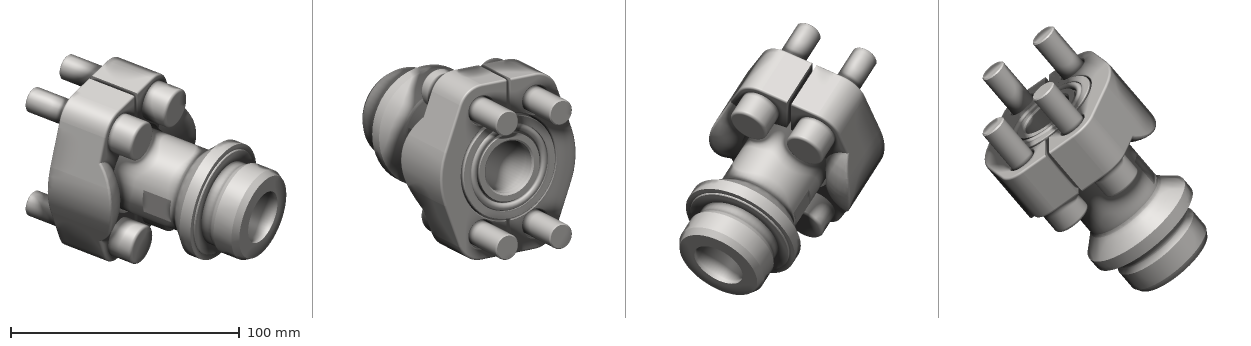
import cadquery as cq
import math


clamp_thickness = 24.0
clamp_width = 70.0
clamp_round_radius = clamp_width / 2
clamp_corner_radius = 11.9
clamp_edge_fillet = 1.0
split_gap = 2.2
clamp_bore_diameter = 41.7
clamp_counterbore_diameter = 49.0
counterbore_chamfer = 0.3

lobe_axis_x = 2.4
lobe_radius = 30.9
lobe_crown_y = 33.2
lobe_crown_radius = 18.8
lobe_crown_sweep = 65.0

bolt_spacing_y = 27.7
bolt_y = bolt_spacing_y / 2
bolt_spacing_z = 57.1
bolt_z = bolt_spacing_z / 2
bolt_shank_diameter = 11.7
bolt_tip_x = -21.0
bolt_tip_chamfer = 0.5
bolt_head_diameter = 18.0
bolt_head_height = 12.0
bolt_head_fillet = 1.3
bolt_hole_diameter = 13.0
bolt_hole_chamfer = 0.4

shoulder_front_x = -0.7
shoulder_back_x = 8.8
shoulder_diameter = 47.6
shoulder_front_chamfer = 0.3
shoulder_back_fillet = 0.5
tube_diameter = 37.9
tube_fillet = 0.7
cone_fillet = 2.0
collar_diameter = 53.9
collar_start_x = 63.5
collar_end_x = 69.2
adapter_end_x = 89.5
neck_diameter = 38.5
thread_diameter = 41.9
thread_start_x = 77.4
thread_chamfer_angle = 30.0
neck_fillet = 1.3
bore_diameter = 24.0
bore_chamfer = 0.8
flat_start_x = 39.3
flat_length = 14.1
flats_width = 36.0

groove_outer_diameter = 40.0
groove_inner_diameter = 31.2
ring_section_diameter = 3.5
ring_protrusion = 0.7
washer_diameter = 49.0
washer_thickness = 0.8
washer_chamfer = 0.3

bolt_positions = [(sy * bolt_y, sz * bolt_z) for sy in (-1, 1) for sz in (-1, 1)]


def cylinder_x(diameter, start_x, end_x, y=0, z=0):
    """Cylinder along X between two X positions."""
    return (
        cq.Workplane("YZ", origin=(start_x, y, z))
        .circle(diameter / 2)
        .extrude(end_x - start_x)
    )


def cone_x(start_diameter, end_diameter, start_x, end_x, y=0, z=0):
    """Cone frustum along X between two X positions."""
    cone = cq.Solid.makeCone(
        start_diameter / 2,
        end_diameter / 2,
        end_x - start_x,
        cq.Vector(start_x, y, z),
        cq.Vector(1, 0, 0),
    )
    return cq.Workplane(obj=cone)


def clamp_outline():
    """Closed outline around the round flanks and the four corner rounds, in Y and Z."""
    bolt_distance = math.hypot(bolt_y, bolt_z)
    bolt_angle = math.atan2(bolt_z, bolt_y)
    tangent_angle = bolt_angle - math.acos((clamp_round_radius - clamp_corner_radius) / bolt_distance)
    corner_mid_angle = (tangent_angle + math.pi / 2) / 2

    def on_arc(center_y, center_z, radius, angle):
        return (center_y + radius * math.cos(angle), center_z + radius * math.sin(angle))

    flank_y, flank_z = on_arc(0, 0, clamp_round_radius, tangent_angle)
    corner_y, corner_z = on_arc(bolt_y, bolt_z, clamp_corner_radius, tangent_angle)
    mid_y, mid_z = on_arc(bolt_y, bolt_z, clamp_corner_radius, corner_mid_angle)
    top_z = bolt_z + clamp_corner_radius

    return (
        cq.Workplane("YZ")
        .moveTo(flank_y, -flank_z)
        .threePointArc((clamp_round_radius, 0), (flank_y, flank_z))
        .lineTo(corner_y, corner_z)
        .threePointArc((mid_y, mid_z), (bolt_y, top_z))
        .lineTo(-bolt_y, top_z)
        .threePointArc((-mid_y, mid_z), (-corner_y, corner_z))
        .lineTo(-flank_y, flank_z)
        .threePointArc((-clamp_round_radius, 0), (-flank_y, -flank_z))
        .lineTo(-corner_y, -corner_z)
        .threePointArc((-mid_y, -mid_z), (-bolt_y, -top_z))
        .lineTo(bolt_y, -top_z)
        .threePointArc((mid_y, -mid_z), (corner_y, -corner_z))
        .close()
    )


def lobe_envelope(side):
    """Barrel about a line parallel to Y, highest near the flank, that bounds the rear of one lobe."""
    sweep = math.radians(lobe_crown_sweep)
    reach_y = lobe_crown_radius * math.sin(sweep)
    end_radius = lobe_radius - lobe_crown_radius * (1 - math.cos(sweep))
    inner_y = side * (lobe_crown_y - reach_y)
    crown_y = side * lobe_crown_y
    outer_y = side * (lobe_crown_y + reach_y)
    return (
        cq.Workplane("XY", origin=(lobe_axis_x, 0, 0))
        .moveTo(0, inner_y)
        .lineTo(end_radius, inner_y)
        .threePointArc((lobe_radius, crown_y), (end_radius, outer_y))
        .lineTo(0, outer_y)
        .close()
        .revolve(360, (0, 0, 0), (0, 1, 0))
    )


def make_clamp_blank():
    """Clamp with rounded outer edges and both lobes, before it is split and bored."""
    blank = clamp_outline().extrude(clamp_thickness)
    lobe_reach_x = lobe_axis_x + lobe_radius
    full_prism = clamp_outline().extrude(lobe_reach_x)
    for side in (-1, 1):
        blank = blank.union(full_prism.intersect(lobe_envelope(side)))
    margin = 1.1
    rear_zone = cq.selectors.BoxSelector(
        (clamp_thickness - margin, -clamp_width, -clamp_width),
        (lobe_reach_x, clamp_width, clamp_width),
    )
    lobe_foot_zone = cq.selectors.BoxSelector(
        (clamp_thickness - margin, -bolt_z, -margin),
        (clamp_thickness + margin, bolt_z, margin),
    )
    blank = blank.edges(rear_zone - lobe_foot_zone).fillet(clamp_edge_fillet)
    return blank.edges("<X").fillet(clamp_edge_fillet)


def make_clamp_half(blank, side):
    """Bored clamp half on the +Y (side = 1) or -Y (side = -1) side of the split."""
    lobe_reach_x = lobe_axis_x + lobe_radius
    clamp_height = bolt_spacing_z + 2 * clamp_corner_radius
    half_space = cq.Workplane("XY").box(2 * lobe_reach_x, clamp_width, clamp_height)
    half_space = half_space.translate((0, side * (clamp_width + split_gap) / 2, 0))
    half = blank.intersect(half_space)

    half = half.cut(cylinder_x(clamp_bore_diameter, 0, lobe_reach_x))
    half = half.cut(cylinder_x(clamp_counterbore_diameter, 0, shoulder_back_x))
    mouth_diameter = clamp_counterbore_diameter + 2 * counterbore_chamfer
    half = half.cut(cone_x(mouth_diameter, clamp_counterbore_diameter, 0, counterbore_chamfer))

    hole_mouth_diameter = bolt_hole_diameter + 2 * bolt_hole_chamfer
    for y, z in bolt_positions:
        if y * side > 0:
            half = half.cut(cylinder_x(bolt_hole_diameter, 0, clamp_thickness, y, z))
            half = half.cut(cone_x(hole_mouth_diameter, bolt_hole_diameter, 0, bolt_hole_chamfer, y, z))
    return half


def make_bolt(y, z):
    """Cap screw whose head rests on the rear face of the clamp."""
    shank = cylinder_x(bolt_shank_diameter, bolt_tip_x, clamp_thickness, y, z)
    shank = shank.faces("<X").chamfer(bolt_tip_chamfer)
    head = cylinder_x(bolt_head_diameter, clamp_thickness, clamp_thickness + bolt_head_height, y, z)
    head = head.faces(">X").edges().fillet(bolt_head_fillet)
    return shank.union(head)


def edges_at(x):
    """Selector for the circular edges whose centres lie at one X position."""
    margin = 0.05
    return cq.selectors.BoxSelector((x - margin, -margin, -margin), (x + margin, margin, margin))


def make_adapter():
    """Turned tube with a flanged head, a coned collar and a threaded spigot."""
    cone_start_x = collar_start_x - (collar_diameter - tube_diameter) / 2
    thread_step = (thread_diameter - neck_diameter) / 2
    thread_taper = thread_step / math.tan(math.radians(thread_chamfer_angle))
    neck_end_x = thread_start_x - thread_taper

    body = (
        cq.Workplane("XY")
        .moveTo(shoulder_front_x, 0)
        .lineTo(shoulder_front_x, shoulder_diameter / 2)
        .lineTo(shoulder_back_x, shoulder_diameter / 2)
        .lineTo(shoulder_back_x, tube_diameter / 2)
        .lineTo(cone_start_x, tube_diameter / 2)
        .lineTo(collar_start_x, collar_diameter / 2)
        .lineTo(collar_end_x, collar_diameter / 2)
        .lineTo(collar_end_x, neck_diameter / 2)
        .lineTo(neck_end_x, neck_diameter / 2)
        .lineTo(thread_start_x, thread_diameter / 2)
        .lineTo(adapter_end_x - thread_taper, thread_diameter / 2)
        .lineTo(adapter_end_x, neck_diameter / 2)
        .lineTo(adapter_end_x, 0)
        .close()
        .revolve(360, (0, 0, 0), (1, 0, 0))
    )
    body = body.edges(edges_at(cone_start_x)).fillet(cone_fillet)
    body = body.edges(edges_at(neck_end_x)).fillet(neck_fillet)
    body = body.edges(edges_at(shoulder_front_x)).chamfer(shoulder_front_chamfer)

    smaller_edge = cq.selectors.RadiusNthSelector(0)
    larger_edge = cq.selectors.RadiusNthSelector(-1)
    body = body.edges(edges_at(shoulder_back_x)).edges(larger_edge).fillet(shoulder_back_fillet)
    body = body.edges(edges_at(shoulder_back_x)).edges(smaller_edge).fillet(tube_fillet)

    body = body.cut(cylinder_x(bore_diameter, shoulder_front_x, adapter_end_x))
    bore_mouth_diameter = bore_diameter + 2 * bore_chamfer
    bore_mouth = cone_x(
        bore_mouth_diameter, bore_diameter, shoulder_front_x, shoulder_front_x + bore_chamfer
    )
    body = body.cut(bore_mouth)
    body = body.cut(make_seal_groove())
    return cut_wrench_flats(body)


def make_seal_groove():
    """Annular groove in the front face, just deep enough to leave the sealing ring proud."""
    groove_bottom_x = shoulder_front_x + ring_section_diameter - ring_protrusion
    outer = cylinder_x(groove_outer_diameter, shoulder_front_x, groove_bottom_x)
    inner = cylinder_x(groove_inner_diameter, shoulder_front_x, groove_bottom_x)
    return outer.cut(inner)


def cut_wrench_flats(body):
    """Remove two parallel flats from the tube on its +Y and -Y sides."""
    for side in (-1, 1):
        cutter_y = side * (flats_width + tube_diameter) / 2
        cutter = cq.Workplane("XY").box(flat_length, tube_diameter, tube_diameter)
        body = body.cut(cutter.translate((flat_start_x + flat_length / 2, cutter_y, 0)))
    return body


def make_sealing_ring():
    """O-ring that fills the outer side of the front groove."""
    ring_radius = (groove_outer_diameter - ring_section_diameter) / 2
    ring_center_x = shoulder_front_x - ring_protrusion + ring_section_diameter / 2
    torus = cq.Solid.makeTorus(
        ring_radius, ring_section_diameter / 2, cq.Vector(ring_center_x, 0, 0), cq.Vector(1, 0, 0)
    )
    return cq.Workplane(obj=torus)


def make_sealing_washer():
    """Flat washer around the neck, against the rear face of the collar."""
    washer_end_x = collar_end_x + washer_thickness
    washer = cylinder_x(washer_diameter, collar_end_x, washer_end_x)
    washer = washer.faces(">X").chamfer(washer_chamfer)
    return washer.cut(cylinder_x(neck_diameter, collar_end_x, washer_end_x))


clamp_blank = make_clamp_blank()
clamp_halves = [make_clamp_half(clamp_blank, side) for side in (-1, 1)]
bolts = [make_bolt(y, z) for y, z in bolt_positions]
adapter = make_adapter()
sealing_ring = make_sealing_ring()
sealing_washer = make_sealing_washer()

result = cq.Compound.makeCompound(
    [
        *[half.val() for half in clamp_halves],
        *[bolt.val() for bolt in bolts],
        adapter.val(),
        sealing_ring.val(),
        sealing_washer.val(),
    ]
)